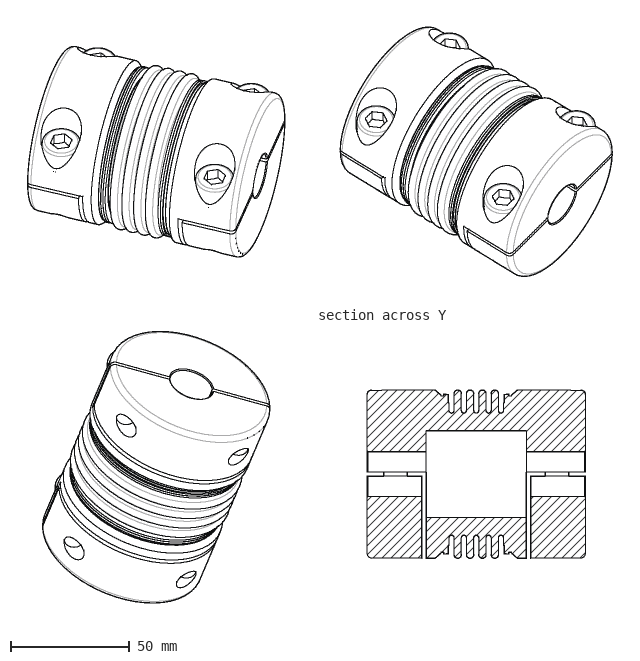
import cadquery as cq
import math


length = 92.1
half_length = length / 2
outer_radius = 71.0 / 2

end_fillet = 2.0
hub_inner_x = 14.8
hub_chamfer_length = 2.5
hub_chamfer_depth = 2.2
neck_radius = 33.0
bore_radius = 18.8 / 2
bore_chamfer = 0.5

collar_outer_x = 13.7
collar_step_x = 12.7
collar_inner_x = 11.7
hub_ring_radius = 67.5 / 2
bellows_ring_radius = 67.4 / 2

ridge_count = 4
end_disc_x = 11.4
groove_width = 2.0
pitch = (2 * end_disc_x - groove_width) / ridge_count
groove_round = groove_width / 2
ridge_round = (pitch - groove_width) / 2
groove_floor_radius = 25.8
end_disc_radius = 30.0
cavity_radius = 18.2

slit_width = 1.75
cap_end_x = 22.9
cross_slot_width = 1.8
cross_slot_wall_x = cap_end_x - cross_slot_width

screw_x = 34.0
screw_y = 25.0
head_radius = 16.0 / 2
head_top_z = 20.0
head_height = 10.0
head_seat_z = head_top_z - head_height
head_fillet = 1.0
shank_radius = 10.0 / 2
shank_end_z = -18.4
counterbore_radius = 17.0 / 2
tapped_hole_radius = 8.4 / 2
hex_flats = 8.0
hex_depth = 5.0
hex_cone_depth = 2.3


def bellows_profile(sketch):
    """Trace ridges and grooves from the -X end disc to the +X end disc."""
    ridge_shoulder = outer_radius - ridge_round
    groove_shoulder = groove_floor_radius + groove_round
    first_groove_x = -ridge_count * pitch / 2
    for index in range(ridge_count + 1):
        groove_x = first_groove_x + index * pitch
        sketch = sketch.lineTo(groove_x - groove_round, groove_shoulder)
        sketch = sketch.threePointArc(
            (groove_x, groove_floor_radius),
            (groove_x + groove_round, groove_shoulder),
        )
        if index < ridge_count:
            ridge_x = groove_x + pitch / 2
            sketch = sketch.lineTo(ridge_x - ridge_round, ridge_shoulder)
            sketch = sketch.threePointArc(
                (ridge_x, outer_radius),
                (ridge_x + ridge_round, ridge_shoulder),
            )
    return sketch


def turned_body():
    """Revolve the full outline of hubs, collars and bellows about X."""
    fillet_mid = end_fillet * (1 - math.sqrt(0.5))
    hub_side = [
        (hub_inner_x + hub_chamfer_length, outer_radius),
        (hub_inner_x, outer_radius - hub_chamfer_depth),
        (hub_inner_x, neck_radius),
        (collar_outer_x, neck_radius),
        (collar_outer_x, hub_ring_radius),
        (collar_step_x, hub_ring_radius),
        (collar_step_x, bellows_ring_radius),
        (collar_inner_x, bellows_ring_radius),
        (collar_inner_x, end_disc_radius),
        (end_disc_x, end_disc_radius),
    ]
    bore_side = [
        (half_length, bore_radius + bore_chamfer),
        (half_length - bore_chamfer, bore_radius),
        (cross_slot_wall_x, bore_radius),
        (cross_slot_wall_x, cavity_radius),
    ]
    sketch = cq.Workplane("XY").moveTo(-half_length, outer_radius - end_fillet)
    sketch = sketch.threePointArc(
        (-half_length + fillet_mid, outer_radius - fillet_mid),
        (-half_length + end_fillet, outer_radius),
    )
    for x, radius in hub_side:
        sketch = sketch.lineTo(-x, radius)
    sketch = bellows_profile(sketch)
    for x, radius in reversed(hub_side):
        sketch = sketch.lineTo(x, radius)
    sketch = sketch.lineTo(half_length - end_fillet, outer_radius)
    sketch = sketch.threePointArc(
        (half_length - fillet_mid, outer_radius - fillet_mid),
        (half_length, outer_radius - end_fillet),
    )
    for x, radius in bore_side:
        sketch = sketch.lineTo(x, radius)
    for x, radius in reversed(bore_side):
        sketch = sketch.lineTo(-x, radius)
    return sketch.close().revolve(360, (0, 0, 0), (1, 0, 0))


def block(x_start, x_end, z_start, z_end):
    """Box spanning the full width of the part in Y."""
    return (
        cq.Workplane("XY")
        .box(x_end - x_start, 2 * outer_radius, z_end - z_start, centered=(False, True, False))
        .translate((x_start, 0, z_start))
    )


def clamp_cut():
    """L-shaped cut that frees the lower clamp cap of the +X hub."""
    slit = block(cross_slot_wall_x, half_length, -slit_width / 2, slit_width / 2)
    cross_slot = block(cross_slot_wall_x, cap_end_x, -outer_radius, slit_width / 2)
    return slit.union(cross_slot)


def cylinder(radius, z_start, z_end):
    """Cylinder on the Z axis between two heights."""
    return cq.Workplane("XY").workplane(offset=z_start).circle(radius).extrude(z_end - z_start)


def hex_socket():
    """Hexagonal recess, open at the head top, with a conical floor."""
    corner_radius = hex_flats / math.sqrt(3)
    depth = hex_depth + hex_cone_depth
    prism = (
        cq.Workplane("XY")
        .workplane(offset=head_top_z - depth)
        .transformed(rotate=(0, 0, 90))
        .polygon(6, 2 * corner_radius)
        .extrude(depth)
    )
    pointed_plug = (
        cq.Workplane("XZ")
        .moveTo(0, head_top_z - depth)
        .lineTo(corner_radius, head_top_z - hex_depth)
        .lineTo(corner_radius, head_top_z)
        .lineTo(0, head_top_z)
        .close()
        .revolve(360, (0, 0, 0), (0, 1, 0))
    )
    return prism.intersect(pointed_plug)


def clamp_screw():
    """Socket head screw on the Z axis."""
    head = cylinder(head_radius, head_seat_z, head_top_z).faces(">Z").edges().fillet(head_fillet)
    shank = cylinder(shank_radius, shank_end_z, head_seat_z)
    return head.union(shank).cut(hex_socket())


counterbore = cylinder(counterbore_radius, head_seat_z, outer_radius)
tapped_hole = cylinder(tapped_hole_radius, -outer_radius, shank_end_z)
screw_hole = counterbore.union(tapped_hole)
screw = clamp_screw()
hub_cut = clamp_cut()
screw_places = [(sx * screw_x, sy * screw_y, 0) for sx in (-1, 1) for sy in (-1, 1)]

result = turned_body().cut(hub_cut).cut(hub_cut.mirror("YZ"))
for place in screw_places:
    result = result.cut(screw_hole.translate(place))
for place in screw_places:
    result = result.union(screw.translate(place))